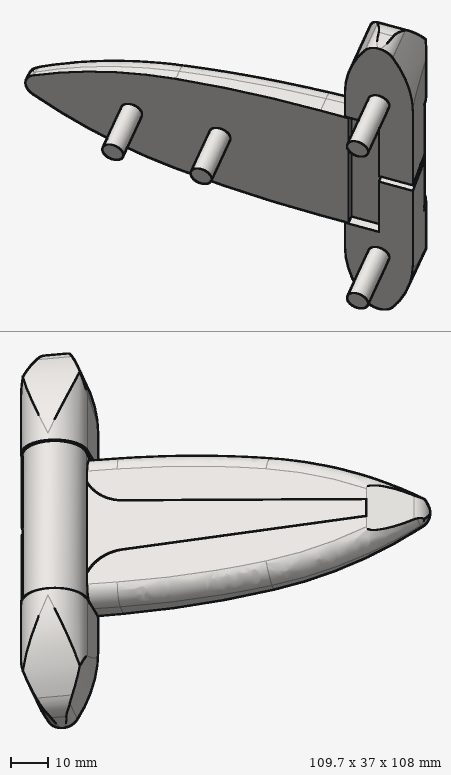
import cadquery as cq
import math


axis_height = 11.0
knuckle_radius = 9.0
knuckle_draft = math.radians(3.2)
barrel_radius = 8.6

knuckle_half_length = 54.0
outline_straight_end = 32.0
outline_tip_radius = 4.6
outline_tip_tangent = math.radians(31.5)
crown_straight_end = 24.0
crown_corner_height = 9.3
crown_corner_radius = 8.0
end_face_draft = math.radians(5.0)

leaf_half_width = 21.75
axial_clearance = 0.25
half_gap_between_knuckles = 1.15

leaf_length = 100.12
leaf_root_height = 9.75
leaf_top_slope = math.radians(2.35)
leaf_edge_radius = 5.0
leaf_straight_end = -16.5
leaf_flank_joint = (-57.5, 18.6)
leaf_flank_end = (-97.6, 4.1)
nose_slope_start = -84.0
nose_slope = math.radians(10.6)
nose_radius = 4.4

panel_height = 0.25
panel_nose_half_width = 2.5
panel_flare_start = (-18.0, 7.3)
panel_root_half_width = 13.3

stud_diameter = 6.0
knuckle_stud_length = 17.0
knuckle_stud_position = 31.5
leaf_stud_length = 15.0
leaf_stud_positions = (-70.0, -45.0)

knuckle_height = axis_height + knuckle_radius
tangent_x = knuckle_radius * math.cos(knuckle_draft)
tangent_height = axis_height + knuckle_radius * math.sin(knuckle_draft)
base_half_width = tangent_x + tangent_height * math.tan(knuckle_draft)
knuckle_inner_end = leaf_half_width + axial_clearance
barrel_underside = axis_height - barrel_radius
leaf_end = -barrel_radius
wide = 2 * leaf_length


def stud(x, z, length):
    """Round stud standing on the mounting face and pointing to -Y."""
    return cq.Workplane("XZ").center(x, z).circle(stud_diameter / 2).extrude(length)


def knuckle_bar():
    """Domed section with drafted sides, running along Z from 0 to the knuckle end."""
    return (
        cq.Workplane("XY")
        .moveTo(-base_half_width, 0)
        .lineTo(-tangent_x, tangent_height)
        .threePointArc((0, knuckle_height), (tangent_x, tangent_height))
        .lineTo(base_half_width, 0)
        .close()
        .extrude(knuckle_half_length)
    )


def knuckle_outline():
    """Pointed outline with a rounded tip, extruded straight along Y."""
    tip_x = outline_tip_radius * math.cos(outline_tip_tangent)
    tip_z = knuckle_half_length - outline_tip_radius * (1 - math.sin(outline_tip_tangent))
    return (
        cq.Workplane("XZ")
        .moveTo(0, 0)
        .lineTo(base_half_width, 0)
        .lineTo(base_half_width, outline_straight_end)
        .tangentArcPoint((tip_x, tip_z), relative=False)
        .tangentArcPoint((0, knuckle_half_length), relative=False)
        .mirrorY()
        .extrude(-knuckle_height)
    )


def knuckle_crown():
    """Side profile that curves down to a drafted end face, extruded along X."""
    corner_z = knuckle_half_length - crown_corner_height * math.tan(end_face_draft)
    return (
        cq.Workplane("YZ")
        .lineTo(knuckle_height, 0)
        .lineTo(knuckle_height, crown_straight_end)
        .tangentArcPoint((crown_corner_height, corner_z), relative=False)
        .lineTo(0, knuckle_half_length)
        .close()
        .extrude(base_half_width, both=True)
        .edges(cq.selectors.NearestToPointSelector((0, crown_corner_height, corner_z)))
        .fillet(crown_corner_radius)
    )


def make_knuckle():
    """Upper knuckle: a full end block and a half shell under the barrel of the leaf."""
    body = knuckle_bar().intersect(knuckle_outline()).intersect(knuckle_crown())
    gap = cq.Workplane("XY").rect(wide, wide).extrude(half_gap_between_knuckles)
    leaf_side = (
        cq.Workplane("XY").center(-wide / 2, 0).rect(wide, wide).extrude(knuckle_inner_end)
    )
    above_axis = (
        cq.Workplane("XY")
        .center(0, axis_height + wide / 2)
        .rect(wide, wide)
        .extrude(knuckle_inner_end)
    )
    barrel_seat = (
        cq.Workplane("XY").center(0, axis_height).circle(barrel_radius).extrude(knuckle_inner_end)
    )
    for cutter in (gap, leaf_side, above_axis, barrel_seat):
        body = body.cut(cutter)
    return body.union(stud(0, knuckle_stud_position, knuckle_stud_length))


def leaf_top(x):
    """Height of the sloping top face of the leaf."""
    return leaf_root_height + (x - leaf_end) * math.tan(leaf_top_slope)


def leaf_wedge(top_offset):
    """Block under a plane parallel to the sloping top face, longer than the leaf."""
    return (
        cq.Workplane("XY")
        .moveTo(leaf_end, 0)
        .lineTo(leaf_end, leaf_top(leaf_end) + top_offset)
        .lineTo(-wide, leaf_top(-wide) + top_offset)
        .lineTo(-wide, 0)
        .close()
        .extrude(leaf_half_width, both=True)
    )


def leaf_half():
    """Leaf plate whose +Z flank is curved and rounded, cut off at the plane of symmetry."""
    flank = (
        cq.Workplane("XZ")
        .moveTo(leaf_end, -leaf_half_width)
        .lineTo(leaf_end, leaf_half_width)
        .lineTo(leaf_straight_end, leaf_half_width)
        .tangentArcPoint(leaf_flank_joint, relative=False)
        .tangentArcPoint(leaf_flank_end, relative=False)
        .lineTo(-leaf_length - nose_radius, 0)
        .lineTo(-leaf_length - nose_radius, -leaf_half_width)
        .close()
        .extrude(-knuckle_height)
    )
    x = leaf_straight_end
    edge_point = cq.selectors.NearestToPointSelector((x, leaf_top(x), leaf_half_width))
    other_side = cq.Workplane("XY").rect(2 * wide, wide).extrude(-leaf_half_width)
    return leaf_wedge(0).intersect(flank).edges(edge_point).fillet(leaf_edge_radius).cut(other_side)


def leaf_nose():
    """Side profile that slopes down to the nose and rounds over it, extruded along Z."""
    slope_start_height = leaf_top(nose_slope_start)
    corner_height = slope_start_height - (leaf_length + nose_slope_start) * math.tan(nose_slope)
    corner_x = corner_height * math.tan(end_face_draft) - leaf_length
    return (
        cq.Workplane("XY")
        .moveTo(-leaf_length, 0)
        .lineTo(corner_x, corner_height)
        .lineTo(nose_slope_start, slope_start_height)
        .lineTo(leaf_end, knuckle_height)
        .lineTo(leaf_end, 0)
        .close()
        .extrude(leaf_half_width, both=True)
        .edges(cq.selectors.NearestToPointSelector((corner_x, corner_height, 0)))
        .fillet(nose_radius)
    )


def leaf_tip():
    """Outline that limits the leaf to a round tip between the ends of its two flanks."""
    tip_x, tip_z = leaf_flank_end
    return (
        cq.Workplane("XZ")
        .moveTo(leaf_end, leaf_half_width)
        .lineTo(tip_x, leaf_half_width)
        .lineTo(tip_x, tip_z)
        .threePointArc((-leaf_length, 0), (tip_x, -tip_z))
        .lineTo(tip_x, -leaf_half_width)
        .lineTo(leaf_end, -leaf_half_width)
        .close()
        .extrude(-knuckle_height)
    )


def leaf_panel():
    """Raised panel that widens from the nose and flares out at the barrel."""
    outline = (
        cq.Workplane("XZ")
        .moveTo(nose_slope_start, 0)
        .lineTo(nose_slope_start, panel_nose_half_width)
        .lineTo(*panel_flare_start)
        .tangentArcPoint((leaf_end, panel_root_half_width), relative=False)
        .lineTo(leaf_end, 0)
        .mirrorX()
        .extrude(-knuckle_height)
    )
    return outline.intersect(leaf_wedge(panel_height))


def leaf_barrel():
    """Barrel on the hinge axis, filled out square where it joins the plate."""
    corner_block = (
        cq.Workplane("XY")
        .moveTo(leaf_end, barrel_underside)
        .lineTo(leaf_end, axis_height)
        .lineTo(0, axis_height)
        .lineTo(0, barrel_underside)
        .close()
        .extrude(leaf_half_width, both=True)
    )
    return (
        cq.Workplane("XY")
        .center(0, axis_height)
        .circle(barrel_radius)
        .extrude(leaf_half_width, both=True)
        .union(corner_block)
    )


def make_leaf():
    """Leaf plate with its raised panel, barrel and studs."""
    upper_half = leaf_half()
    body = upper_half.union(upper_half.mirror("XY"))
    body = body.intersect(leaf_nose()).intersect(leaf_tip())
    body = body.union(leaf_panel()).union(leaf_barrel())
    for x in leaf_stud_positions:
        body = body.union(stud(x, 0, leaf_stud_length))
    return body


leaf = make_leaf()
upper_knuckle = make_knuckle()
lower_knuckle = upper_knuckle.mirror("XY")

result = cq.Compound.makeCompound([leaf.val(), upper_knuckle.val(), lower_knuckle.val()])